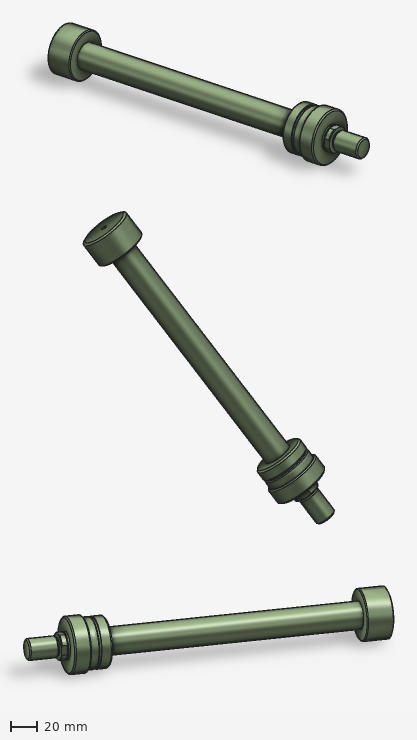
import cadquery as cq

LENGTH = 288.0
X_START = -LENGTH / 2
X_END = LENGTH / 2

HEAD_DIAMETER = 41.0
HEAD_LENGTH = 22.0
HEAD_FACE_DIAMETER = 36.3
HEAD_CHAMFER_LENGTH = 1.2
HEAD_BACK_CHAMFER = 1.0
CENTRE_HOLE_DIAMETER = 1.5
CENTRE_HOLE_DEPTH = 5.8
CENTRE_CONE_DIAMETER = 4.3
CENTRE_CONE_ANGLE = 60.0

ROD_DIAMETER = 22.0
STUD_DIAMETER = 17.0
STUD_LENGTH = 23.5
STUD_CHAMFER = 1.2
UNDERCUT_DIAMETER = 13.8
UNDERCUT_LENGTH = 1.2
SQUARE_ACROSS_FLATS = 20.5
SQUARE_LENGTH = 5.0
SQUARE_CHAMFER = 0.5
SHOULDER_CHAMFER = 0.5

GLAND_START = 225.2
BARREL_DIAMETER = HEAD_DIAMETER
BARREL_LENGTH = 17.5
BARREL_CHAMFER = 1.5
GROOVE_OFFSET = 9.0
GROOVE_FLOOR_WIDTH = 1.5
GROOVE_WALL_WIDTH = 1.0
GROOVE_RIM_WIDTH = 1.7
GROOVE_DEPTH = 1.2
GROOVE_RIM_DEPTH = 0.3
FLANGE_DIAMETER = 45.0
FLANGE_LENGTH = 13.5
FLANGE_CHAMFER = 1.2


def cylinder(x_start, length, diameter):
    """Cylinder along +X, starting at x_start."""
    return cq.Workplane("YZ").workplane(offset=x_start).circle(diameter / 2).extrude(length)


def make_head():
    """Piston head with a beveled front rim and a centre-drilled front face."""
    head = cylinder(X_START, HEAD_LENGTH, HEAD_DIAMETER)
    bevel = (
        cq.Workplane("XY")
        .moveTo(X_START, HEAD_FACE_DIAMETER / 2)
        .lineTo(X_START, HEAD_DIAMETER / 2)
        .lineTo(X_START + HEAD_CHAMFER_LENGTH, HEAD_DIAMETER / 2)
        .close()
        .revolve(360, (0, 0, 0), (1, 0, 0))
    )
    return (
        head.faces(">X").edges().chamfer(HEAD_BACK_CHAMFER)
        .cut(bevel)
        .faces("<X").workplane(centerOption="CenterOfMass")
        .cskHole(CENTRE_HOLE_DIAMETER, CENTRE_CONE_DIAMETER, CENTRE_CONE_ANGLE, CENTRE_HOLE_DEPTH)
    )


def make_rod():
    """Rod from the head's back face to the stud tip."""
    rod_start = X_START + HEAD_LENGTH
    stud_start = X_END - STUD_LENGTH
    square_end = stud_start - UNDERCUT_LENGTH
    square_start = square_end - SQUARE_LENGTH

    shank = cylinder(rod_start, square_start - rod_start, ROD_DIAMETER).faces(">X").chamfer(SHOULDER_CHAMFER)
    flats = (
        cq.Workplane("YZ").workplane(offset=square_start)
        .rect(SQUARE_ACROSS_FLATS, SQUARE_ACROSS_FLATS)
        .extrude(SQUARE_LENGTH)
    )
    rounded_end = cylinder(square_start, SQUARE_LENGTH, ROD_DIAMETER).faces(">X").chamfer(SQUARE_CHAMFER)
    square = rounded_end.intersect(flats)
    undercut = cylinder(square_end, UNDERCUT_LENGTH, UNDERCUT_DIAMETER)
    stud = cylinder(stud_start, STUD_LENGTH, STUD_DIAMETER).edges().chamfer(STUD_CHAMFER)
    return shank.union(square).union(undercut).union(stud)


def make_groove(x_start):
    """Ring to cut from the barrel: square front wall, sloped rear wall and a shallow rear bevel."""
    radius = BARREL_DIAMETER / 2
    floor_radius = radius - GROOVE_DEPTH
    rim_radius = radius - GROOVE_RIM_DEPTH
    floor_end = x_start + GROOVE_FLOOR_WIDTH
    wall_end = floor_end + GROOVE_WALL_WIDTH
    rim_end = wall_end + GROOVE_RIM_WIDTH
    return (
        cq.Workplane("XY")
        .moveTo(x_start, radius)
        .lineTo(x_start, floor_radius)
        .lineTo(floor_end, floor_radius)
        .lineTo(wall_end, rim_radius)
        .lineTo(rim_end, radius)
        .close()
        .revolve(360, (0, 0, 0), (1, 0, 0))
    )


def make_gland():
    """Gland that the rod slides through."""
    barrel_start = X_START + GLAND_START
    flange_start = barrel_start + BARREL_LENGTH
    barrel = (
        cylinder(barrel_start, BARREL_LENGTH, BARREL_DIAMETER)
        .faces("<X").edges().chamfer(BARREL_CHAMFER)
        .cut(make_groove(barrel_start + GROOVE_OFFSET))
    )
    flange = cylinder(flange_start, FLANGE_LENGTH, FLANGE_DIAMETER).edges().chamfer(FLANGE_CHAMFER)
    bore = cylinder(barrel_start, BARREL_LENGTH + FLANGE_LENGTH, ROD_DIAMETER)
    return barrel.union(flange).cut(bore)


head = make_head()
rod = make_rod()
gland = make_gland()
result = cq.Compound.makeCompound([head.val(), rod.val(), gland.val()])